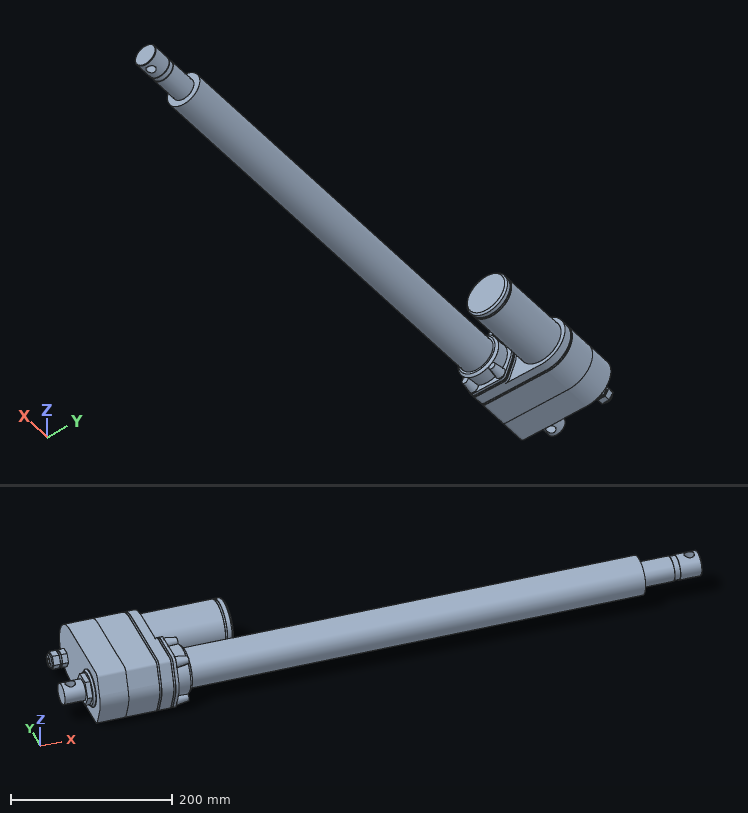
import cadquery as cq
import math


housing_height = 76.0
half_height = housing_height / 2
motor_y = housing_height
nose_lean = math.radians(21)
nose_tip_radius = 33.0
nose_corner_radius = 7.0

nut_x = 28.0
washer_x = 34.0
housing_x = 38.0
case_x = 75.5
case_groove_x = 116.5
case_end_x = 132.0
flange_groove_x = 135.0
flange_end_x = 142.0
sleeve_end_x = 163.0
motor_groove_x = 232.0
motor_end_x = 243.0
tube_end_x = 760.0
rod_neck_x = 802.0
rod_end_x = 810.0
total_length = 838.0

groove_width = 2.5
groove_depth = 1.0

clevis_diameter = 28.0
nut_flats = 35.0
washer_diameter = 49.0
washer_chamfer = 2.5
pin_hole_diameter = 12.5
pin_hole_inset = 12.0

gland_y = 91.0
gland_z = -15.0
gland_flats = 20.0
gland_core_diameter = 18.5
gland_bore_diameter = 7.5
gland_tip_x = 15.0
gland_hex_x = 18.5
gland_groove_x = 28.0
gland_tip_chamfer = 2.0

sleeve_diameter = 64.0
sleeve_chamfer = 3.0
boss_y = 21.0
boss_z = 28.5
boss_base_radius = 7.5
boss_tip_radius = 5.0
boss_end_x = sleeve_end_x - sleeve_chamfer

motor_diameter = 64.0
motor_chamfer = 2.5
tube_diameter = 51.0
rod_diameter = 33.0
rod_end_chamfer = 1.0


def cylinder(x_start, x_end, diameter, y=0.0, z=0.0):
    """Round bar along X."""
    bar = cq.Workplane("YZ", origin=(x_start, y, z)).circle(diameter / 2)
    return bar.extrude(x_end - x_start)


def hexagon(x_start, x_end, flats, y=0.0, z=0.0):
    """Hexagonal bar along X with two corners pointing along Y."""
    bar = cq.Workplane("YZ", origin=(x_start, y, z)).polygon(6, flats / math.cos(math.pi / 6))
    return bar.extrude(x_end - x_start)


def pin_hole(x):
    """Round cutter along Z through the rod axis."""
    cutter = cq.Workplane("XY").center(x, 0).circle(pin_hole_diameter / 2)
    return cutter.extrude(half_height, both=True)


def nose_block(x_start, x_end, inset=0.0):
    """Block with a rounded, pointed nose on both Y sides, centred on the rod axis."""
    half = half_height - inset
    sharp_tip_y = half + nose_tip_radius * (1 / math.cos(nose_lean) - 1)
    corner_y = sharp_tip_y - half * math.tan(nose_lean)
    outline = [
        (sharp_tip_y, 0),
        (corner_y, half),
        (-corner_y, half),
        (-sharp_tip_y, 0),
        (-corner_y, -half),
        (corner_y, -half),
    ]
    block = cq.Workplane("YZ", origin=(x_start, 0, 0)).polyline(outline).close().extrude(x_end - x_start)
    block = block.edges("|X").edges("<Y or >Y").fillet(nose_tip_radius)
    return block.edges("|X").edges("<Z or >Z").fillet(nose_corner_radius)


def housing_block(x_start, x_end, inset=0.0):
    """Stretch of the gear housing: pointed nose at -Y, half round about the motor axis at +Y."""
    half = half_height - inset
    length = x_end - x_start
    middle = cq.Workplane("YZ", origin=(x_start, motor_y / 2, 0)).rect(motor_y, 2 * half).extrude(length)
    round_end = cylinder(x_start, x_end, 2 * half, motor_y)
    return nose_block(x_start, x_end, inset).union(middle).union(round_end)


def make_cable_gland():
    """Hexagonal gland with a round groove, a chamfered tip and a cable entry down to the housing."""
    core = cylinder(gland_tip_x, housing_x, gland_core_diameter, gland_y, gland_z)
    core = core.faces("<X").chamfer(gland_tip_chamfer)
    front_hex = hexagon(gland_hex_x, gland_groove_x, gland_flats, gland_y, gland_z)
    rear_hex = hexagon(gland_groove_x + groove_width, housing_x, gland_flats, gland_y, gland_z)
    cable_entry = cylinder(gland_tip_x, housing_x, gland_bore_diameter, gland_y, gland_z)
    return core.union(front_hex).union(rear_hex).cut(cable_entry)


def make_rear_cover():
    """Rear part of the housing with the cable gland on its back face."""
    return housing_block(housing_x, case_x).union(make_cable_gland())


def make_boss(y_side, z_side):
    """Tapered screw boss running along the sleeve from the flange."""
    return cq.Workplane(
        cq.Solid.makeCone(
            boss_base_radius,
            boss_tip_radius,
            boss_end_x - flange_end_x,
            cq.Vector(flange_end_x, y_side * boss_y, z_side * boss_z),
            cq.Vector(1, 0, 0),
        )
    )


def make_gear_case():
    """Front part of the housing with its flange, and the sleeve that holds the tube."""
    case = housing_block(case_x, case_groove_x)
    case = case.union(housing_block(case_groove_x, case_groove_x + groove_width, groove_depth))
    case = case.union(housing_block(case_groove_x + groove_width, case_end_x))
    case = case.union(nose_block(case_end_x, flange_groove_x))
    case = case.union(nose_block(flange_groove_x, flange_groove_x + groove_width, groove_depth))
    case = case.union(nose_block(flange_groove_x + groove_width, flange_end_x))
    sleeve = cylinder(flange_end_x, sleeve_end_x, sleeve_diameter)
    case = case.union(sleeve.faces(">X").chamfer(sleeve_chamfer))
    for y_side in (-1, 1):
        for z_side in (-1, 1):
            case = case.union(make_boss(y_side, z_side))
    return case.cut(cylinder(flange_end_x, sleeve_end_x, tube_diameter))


def make_motor():
    """Motor can with a groove near its chamfered end."""
    groove_end_x = motor_groove_x + groove_width
    motor = cylinder(case_end_x, motor_groove_x, motor_diameter, motor_y)
    motor = motor.union(cylinder(motor_groove_x, groove_end_x, motor_diameter - 2 * groove_depth, motor_y))
    end_cap = cylinder(groove_end_x, motor_end_x, motor_diameter, motor_y)
    return motor.union(end_cap.faces(">X").chamfer(motor_chamfer))


def make_tube():
    """Outer tube seated in the sleeve, bored for the rod."""
    tube = cylinder(flange_end_x, tube_end_x, tube_diameter)
    return tube.cut(cylinder(flange_end_x, tube_end_x, rod_diameter))


def make_rod():
    """Rod with a slim neck and a cross-drilled end."""
    rod = cylinder(flange_end_x, rod_neck_x, rod_diameter)
    rod = rod.union(cylinder(rod_neck_x, rod_end_x, rod_diameter - 2 * groove_depth))
    rod_end = cylinder(rod_end_x, total_length, rod_diameter)
    rod = rod.union(rod_end.faces(">X").chamfer(rod_end_chamfer))
    return rod.cut(pin_hole(total_length - pin_hole_inset))


def make_clevis():
    """Cross-drilled rear mount with its hexagonal nut and washer."""
    washer = cylinder(washer_x, housing_x, washer_diameter)
    clevis = cylinder(0, housing_x, clevis_diameter)
    clevis = clevis.union(hexagon(nut_x, washer_x, nut_flats))
    clevis = clevis.union(washer.faces("<X").chamfer(washer_chamfer))
    return clevis.cut(pin_hole(pin_hole_inset))


rear_cover = make_rear_cover()
gear_case = make_gear_case()
motor = make_motor()
tube = make_tube()
rod = make_rod()
clevis = make_clevis()

result = cq.Compound.makeCompound(
    [rear_cover.val(), gear_case.val(), motor.val(), tube.val(), rod.val(), clevis.val()]
)